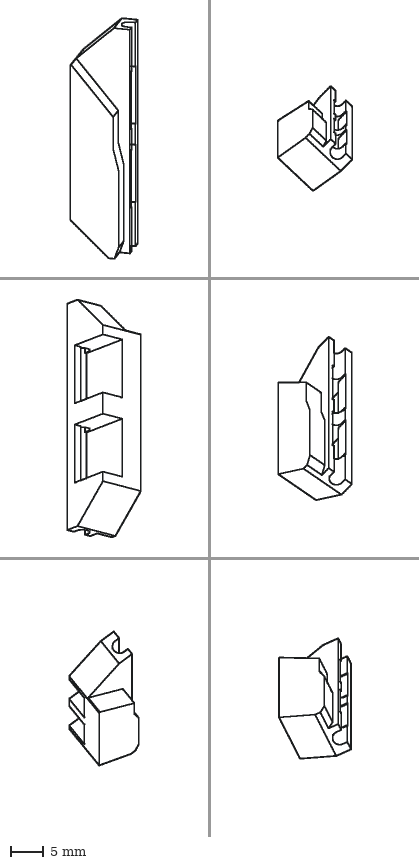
import cadquery as cq

height = 37.3
width = 8.85
depth = 7.7

body_depth = 4.7
bevel_width = 6.25
bevel_height = 5.8

plate_top_x = 0.15
shoulder_x = 6.98
shoulder_top_z = 23.65
shoulder_bottom_z = 18.3
plate_right_x = 7.87
plate_right_top_z = 14.75
plate_right_bottom_z = 1.98
plate_foot_x = 7.15

groove_width = 2.25
groove_floor_x = 6.95
groove_center_y = -2.5

window_wall = 1.55
window_count = 2
window_web = 3.5
window_depth = 3.9
back_strip = 1.23


def prism(points, front_y, back_y):
    """Extrude an XZ outline from front_y back to back_y."""
    outline = cq.Workplane("XZ", origin=(0, back_y, 0)).polyline(points).close()
    return outline.extrude(back_y - front_y)


def make_body():
    points = [
        (0, bevel_height),
        (0, height - bevel_height),
        (bevel_width, height),
        (width, height),
        (width, 0),
        (bevel_width, 0),
    ]
    return prism(points, -body_depth, 0)


def make_plate():
    plate_top_z = height - bevel_height + plate_top_x * bevel_height / bevel_width
    points = [
        (0, bevel_height),
        (0, height - bevel_height),
        (plate_top_x, plate_top_z),
        (shoulder_x, shoulder_top_z),
        (shoulder_x, shoulder_bottom_z),
        (plate_right_x, plate_right_top_z),
        (plate_right_x, plate_right_bottom_z),
        (plate_foot_x, 0),
        (bevel_width, 0),
    ]
    return prism(points, -depth, -body_depth)


def make_groove():
    radius = groove_width / 2
    round_x = groove_floor_x + radius
    return (
        cq.Workplane("XY")
        .moveTo(width, groove_center_y + radius)
        .lineTo(round_x, groove_center_y + radius)
        .threePointArc((groove_floor_x, groove_center_y), (round_x, groove_center_y - radius))
        .lineTo(width, groove_center_y - radius)
        .close()
        .extrude(height)
    )


def make_window(bottom_z, window_height):
    outer = cq.Workplane("XY").box(groove_floor_x, window_depth, window_height, centered=False)
    through = cq.Workplane("XY").box(width, window_depth - back_strip, window_height, centered=False)
    return outer.union(through).translate((0, -window_depth, bottom_z))


result = make_body().union(make_plate()).cut(make_groove())

lowest_window_z = bevel_height + window_wall
windows_span = height - 2 * lowest_window_z
window_height = (windows_span - (window_count - 1) * window_web) / window_count
for index in range(window_count):
    bottom_z = lowest_window_z + index * (window_height + window_web)
    result = result.cut(make_window(bottom_z, window_height))